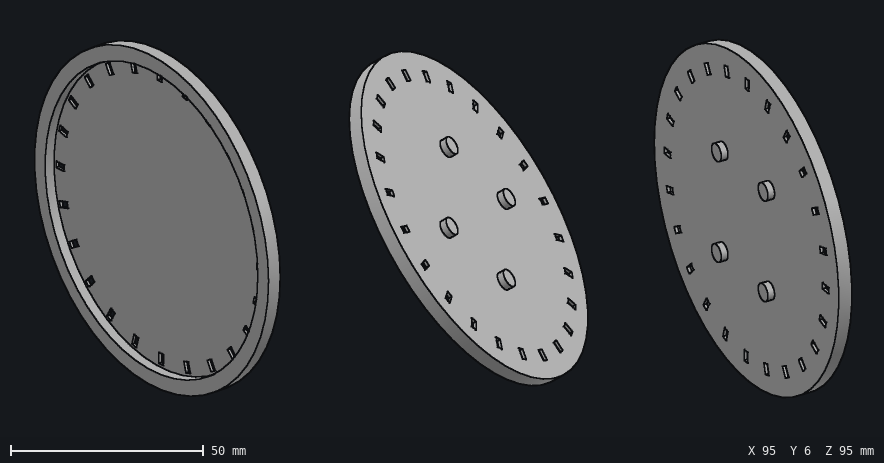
import cadquery as cq

outer_diameter = 95.0
rim_inner_diameter = 86.25
body_thickness = 4.0
floor_thickness = 1.0
recess_depth = body_thickness - floor_thickness

slot_count = 24
slot_length = 3.15
slot_width = 1.8
slot_center_radius = 40.68
slot_side_offset = 0.3

peg_diameter = 5.0
peg_height = 2.0
peg_spacing_x = 24.0
peg_spacing_z = 30.0

front_y = -body_thickness / 2
back_y = front_y + body_thickness


def plane_at(y):
    """Sketch plane at the given Y: local x is +X, local y is +Z, normal is -Y."""
    return cq.Workplane("XZ", origin=(0, y, 0))


def make_dish():
    disc = plane_at(back_y).circle(outer_diameter / 2).extrude(body_thickness)
    recess = plane_at(front_y).circle(rim_inner_diameter / 2).extrude(-recess_depth)
    return disc.cut(recess)


def cut_slots(body):
    slot = (
        plane_at(back_y)
        .center(slot_center_radius, slot_side_offset)
        .rect(slot_length, slot_width)
        .extrude(floor_thickness)
    )
    for index in range(slot_count):
        angle = index * 360.0 / slot_count
        body = body.cut(slot.rotate((0, 0, 0), (0, 1, 0), angle))
    return body


def add_pegs(body):
    pegs = (
        plane_at(back_y)
        .rect(peg_spacing_x, peg_spacing_z, forConstruction=True)
        .vertices()
        .circle(peg_diameter / 2)
        .extrude(-peg_height)
    )
    return body.union(pegs)


result = make_dish()
result = cut_slots(result)
result = add_pegs(result)